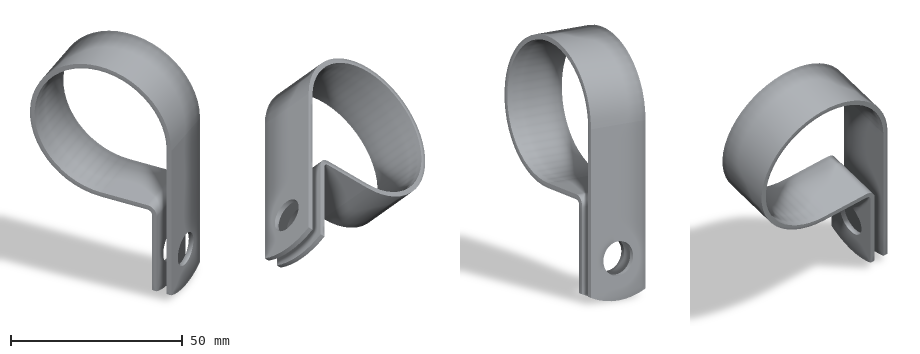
import cadquery as cq
import math

total_height = 76.1
strap_width = 19.0
strap_thickness = 1.5
loop_diameter = 45.9
leg_gap = 3.2
bend_inner_radius = 1.5
hole_diameter = 10.35
hole_height = 12.7
tip_sagitta = 2.2

outer_radius = loop_diameter / 2
inner_radius = outer_radius - strap_thickness
bend_outer_radius = bend_inner_radius + strap_thickness
half_width = strap_width / 2
bottom = outer_radius - total_height
corner_height = bottom + tip_sagitta
short_leg_right = inner_radius - leg_gap
short_leg_left = short_leg_right - strap_thickness


def make_strap():
    """Bent strip: straight long leg, three-quarter loop, bend and short leg."""
    cos_45 = math.cos(math.radians(45))
    bend_start = short_leg_right - bend_outer_radius
    profile = (
        cq.Workplane("XZ")
        .moveTo(outer_radius, bottom)
        .lineTo(outer_radius, 0)
        .threePointArc((-outer_radius * cos_45, outer_radius * cos_45), (0, -outer_radius))
        .lineTo(bend_start, -outer_radius)
        .radiusArc((short_leg_left, -outer_radius - bend_inner_radius), bend_inner_radius)
        .lineTo(short_leg_left, bottom)
        .lineTo(short_leg_right, bottom)
        .lineTo(short_leg_right, -inner_radius - bend_outer_radius)
        .radiusArc((bend_start, -inner_radius), -bend_outer_radius)
        .lineTo(0, -inner_radius)
        .threePointArc((-inner_radius * cos_45, inner_radius * cos_45), (inner_radius, 0))
        .lineTo(inner_radius, bottom)
        .close()
    )
    return profile.extrude(half_width, both=True)


def make_tip_envelope():
    """Block around the whole strap whose underside is the arc of the leg tips."""
    return (
        cq.Workplane("YZ")
        .moveTo(-half_width, corner_height)
        .threePointArc((0, bottom), (half_width, corner_height))
        .lineTo(half_width, outer_radius)
        .lineTo(-half_width, outer_radius)
        .close()
        .extrude(outer_radius, both=True)
    )


def make_screw_hole():
    """Cylinder along X that passes through both legs."""
    return (
        cq.Workplane("YZ")
        .center(0, bottom + hole_height)
        .circle(hole_diameter / 2)
        .extrude(outer_radius, both=True)
    )


result = make_strap().intersect(make_tip_envelope()).cut(make_screw_hole())